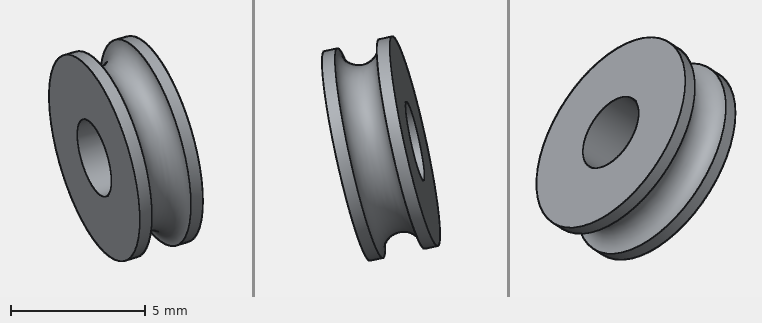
import cadquery as cq

outer_diameter = 8.0
bore_diameter = 3.0
width = 2.6
groove_radius = 0.8

outer_radius = outer_diameter / 2


def make_disc():
    """Plain disc with a through bore."""
    return (
        cq.Workplane("XZ")
        .circle(outer_radius)
        .circle(bore_diameter / 2)
        .extrude(width / 2, both=True)
    )


def make_groove_ring():
    """Torus that cuts the semicircular groove around the rim."""
    return (
        cq.Workplane("XY")
        .center(outer_radius, 0)
        .circle(groove_radius)
        .revolve(360, (-outer_radius, 0), (-outer_radius, 1))
    )


result = make_disc().cut(make_groove_ring())